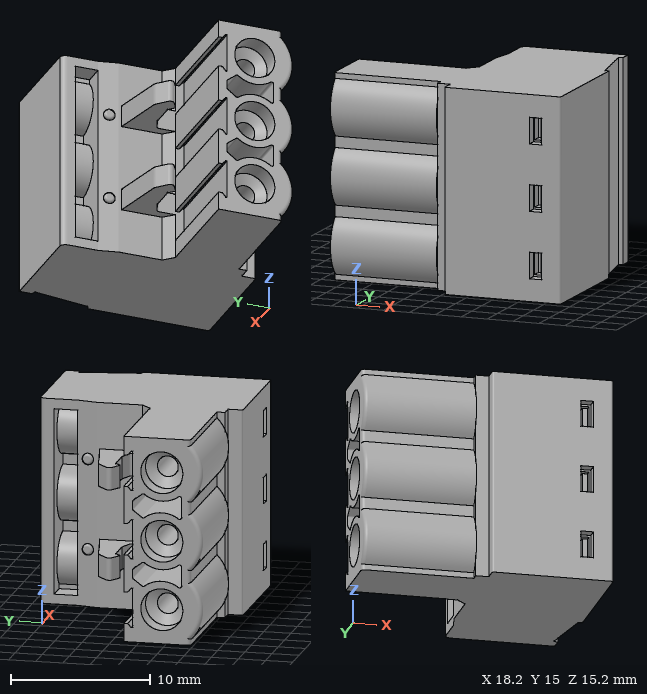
import cadquery as cq
import math


LENGTH = 18.2
DEPTH = 15.0
HEIGHT = 15.23
MID_HEIGHT = HEIGHT / 2
POLES = 3
POLE_PITCH = HEIGHT / POLES
CLAMP_PITCH = 4.95

HOUSING_X = 9.25
SCREW_FACE_X = 9.32
SLOPE_TOP_Y = 12.2
LATCH_WALL_X = 9.0
SLOPE_LOW_Y = 10.7
LATCH_TOP_Y = 10.5
BACK_ARC_START_Y = 14.52
BACK_ARC_RADIUS = 0.51
LOWER_EDGE_RADIUS = 0.16
WIRE_EDGE_RADIUS = 0.2
WIRE_SLOPE_LOW = (17.87, 9.54)
WIRE_SLOPE_HIGH = (17.16, 13.9)
WIRE_STEP_DROP = 0.13
BACK_LIP = (17.49, 14.0)

SHOULDER_X = 8.28
PLUG_TOP_Y = 6.62
PLUG_FLAT_Y = 1.7
NECK_Y = 1.1
LOBE_RADIUS = 3.0
NOSE_RADIUS = 0.31
CHAMBER_END_X = 7.28

BORE_Y = 3.82
BORE_RADIUS = 1.55
BORE_DEPTH = 1.5
PIN_HOLE_RADIUS = 0.76
CONE_DEPTH = 0.42

SHELL_RADIUS = 2.11
RECESS_LOW_Y = 2.37
RECESS_HIGH_Y = 5.97
RECESS_HIGH_HALF = 0.35
RECESS_SHOULDER_Y = 5.19
RECESS_FILLET = 0.15

GROOVE_FLOOR_Y = RECESS_HIGH_Y
GROOVE_NECK_Y = 6.33
GROOVE_UNDERCUT_Y = 6.08
GROOVE_NECK_HALF = 1.16
GROOVE_FLOOR_HALF = 1.45

LATCH_OFFSET = 3.35
LATCH_WIDTH = 1.65
LATCH_CREST = (4.86, 9.63)
LATCH_CREST_RADIUS = 0.55
LATCH_NOSE_HIGH = (3.95, 8.8)
LATCH_NOSE_LOW = (3.95, 8.5)
LATCH_NOSE_RADIUS = 0.27
LATCH_HOOK_TIP = (4.8, 8)
LATCH_HOOK_X = 5.26
LATCH_ARM_END_X = 7.23
LATCH_UNDERSIDE_Y = 8.45
LATCH_ROOT = (SHOULDER_X, 8.05)
LATCH_ROOT_RADIUS = 0.27
STUD_Y = 11.4
STUD_RADIUS = 0.42
STUD_END_X = 8.9
STUD_FILLET = 0.2

WINDOW_LOW_Y = SLOPE_TOP_Y
WINDOW_HIGH_Y = 13.95
WINDOW_HEIGHT = 13.75
WINDOW_LEDGE_X = 10.94
CAVITY_HEIGHT = 12.98
CAVITY_FLOOR_X = 12.12
SCREW_X = 12.3
SCREW_RADIUS = 2.07

SLOT_X = 16.25
SLOT_WIDTH = 0.93
SLOT_HEIGHT = 1.95
SLOT_DEPTH = 0.84
SLOT_LEDGE = 0.15
SLOT_NARROW_LEDGE = 0.07
SLOT_INNER_DEPTH = 1.27
SLOT_STEP_X = 16.2
SLOT_STEP_DEPTH = 1.64


def row(count, pitch):
    """Heights of evenly spaced features, centred on the part."""
    return [MID_HEIGHT + (i - (count - 1) / 2) * pitch for i in range(count)]


def box(x_range, y_range, height, z=MID_HEIGHT):
    """Box spanning two ranges and centred at a height."""
    size_x = x_range[1] - x_range[0]
    size_y = y_range[1] - y_range[0]
    corner = (x_range[0], y_range[0], z - height / 2)
    return cq.Workplane("XY").box(size_x, size_y, height, centered=False).translate(corner)


def along_x(x, z=0):
    """Sketch plane facing +X, whose axes are Y and Z."""
    return cq.Workplane("YZ", origin=(x, 0, z))


def round_upright_edge(solid, x, y, mid_z, radius):
    """Fillet the edge parallel to Z at the given place."""
    edge = cq.selectors.NearestToPointSelector((x, y, mid_z))
    return solid.edges("|Z").edges(edge).fillet(radius)


def shell_half(y):
    """Half height of the gap between two neighbouring bore shells."""
    return POLE_PITCH / 2 - math.sqrt(SHELL_RADIUS**2 - (y - BORE_Y) ** 2)


pole_heights = row(POLES, POLE_PITCH)
gap_heights = row(POLES - 1, POLE_PITCH)
clamp_heights = row(POLES, CLAMP_PITCH)
latch_heights = [MID_HEIGHT - LATCH_OFFSET, MID_HEIGHT + LATCH_OFFSET]


def make_housing():
    chamfer = LATCH_WALL_X - SHOULDER_X
    arc_rise = DEPTH - BACK_ARC_START_Y
    back_arc_end_x = SCREW_FACE_X + BACK_ARC_RADIUS - math.sqrt(BACK_ARC_RADIUS**2 - arc_rise**2)
    outline = [
        (SCREW_FACE_X, BACK_ARC_START_Y),
        (SCREW_FACE_X, SLOPE_TOP_Y),
        (LATCH_WALL_X, SLOPE_LOW_Y),
        (LATCH_WALL_X, PLUG_TOP_Y + chamfer),
        (SHOULDER_X, PLUG_TOP_Y),
        (SHOULDER_X, NECK_Y),
        (HOUSING_X, NECK_Y),
        (HOUSING_X, 0),
        (LENGTH, 0),
        (LENGTH, WIRE_SLOPE_LOW[1] - WIRE_STEP_DROP),
        WIRE_SLOPE_LOW,
        WIRE_SLOPE_HIGH,
        BACK_LIP,
        (BACK_LIP[0], DEPTH),
        (back_arc_end_x, DEPTH),
    ]
    housing = (
        cq.Workplane("XY")
        .polyline(outline)
        .radiusArc((SCREW_FACE_X, BACK_ARC_START_Y), -BACK_ARC_RADIUS)
        .close()
        .extrude(HEIGHT)
    )
    housing = round_upright_edge(housing, HOUSING_X, 0, MID_HEIGHT, LOWER_EDGE_RADIUS)
    return round_upright_edge(housing, LENGTH, 0, MID_HEIGHT, WIRE_EDGE_RADIUS)


def make_lobe(z):
    """Lower half of a round rod along a bore, with its nose rounded."""
    rod = along_x(0, z).center(BORE_Y, 0).circle(LOBE_RADIUS).extrude(SHOULDER_X)
    rod = rod.faces("<X").edges().fillet(NOSE_RADIUS)
    return rod.intersect(box((0, SHOULDER_X), (0, BORE_Y), POLE_PITCH, z))


def make_plug():
    plug = box((0, SHOULDER_X), (PLUG_FLAT_Y, PLUG_TOP_Y), HEIGHT)
    plug = plug.edges("<X and <Y").fillet(NOSE_RADIUS)
    for z in pole_heights:
        plug = plug.union(make_lobe(z))
    return plug


def make_bore(z):
    profile = [
        (0, 0),
        (0, BORE_RADIUS),
        (BORE_DEPTH, BORE_RADIUS),
        (BORE_DEPTH + CONE_DEPTH, PIN_HOLE_RADIUS),
        (CHAMBER_END_X, PIN_HOLE_RADIUS),
        (CHAMBER_END_X, 0),
    ]
    bore = cq.Workplane("XY").polyline(profile).close().revolve(360, (0, 0, 0), (1, 0, 0))
    return bore.translate((0, BORE_Y, z))


def make_recess(z):
    """Waisted recess between two bores, bounded by their shells."""
    waist = shell_half(BORE_Y)
    shoulder = shell_half(RECESS_SHOULDER_Y)
    low = shell_half(RECESS_LOW_Y)
    outline = (
        along_x(0, z)
        .moveTo(RECESS_HIGH_Y, -RECESS_HIGH_HALF)
        .lineTo(RECESS_HIGH_Y, RECESS_HIGH_HALF)
        .lineTo(RECESS_SHOULDER_Y, shoulder)
        .threePointArc((BORE_Y, waist), (RECESS_LOW_Y, low))
        .lineTo(RECESS_LOW_Y, -low)
        .threePointArc((BORE_Y, -waist), (RECESS_SHOULDER_Y, -shoulder))
        .close()
    )
    recess = outline.extrude(CHAMBER_END_X)
    corners = [
        (RECESS_HIGH_Y, RECESS_HIGH_HALF),
        (RECESS_HIGH_Y, -RECESS_HIGH_HALF),
        (RECESS_SHOULDER_Y, shoulder),
        (RECESS_SHOULDER_Y, -shoulder),
        (RECESS_LOW_Y, low),
        (RECESS_LOW_Y, -low),
    ]
    for y, offset in corners:
        edge = cq.selectors.NearestToPointSelector((CHAMBER_END_X / 2, y, z + offset))
        recess = recess.edges("|X").edges(edge).fillet(RECESS_FILLET)
    return recess


def make_groove(z):
    half_outline = [
        (PLUG_TOP_Y, GROOVE_NECK_HALF),
        (GROOVE_NECK_Y, GROOVE_NECK_HALF),
        (GROOVE_UNDERCUT_Y, GROOVE_FLOOR_HALF),
        (GROOVE_FLOOR_Y, GROOVE_FLOOR_HALF),
    ]
    mirrored = [(y, -half) for y, half in reversed(half_outline)]
    return along_x(0, z).polyline(half_outline + mirrored).close().extrude(SHOULDER_X)


def make_latch(z):
    outline = [
        (LATCH_WALL_X, LATCH_TOP_Y),
        LATCH_CREST,
        LATCH_NOSE_HIGH,
        LATCH_NOSE_LOW,
        LATCH_HOOK_TIP,
        (LATCH_HOOK_X, LATCH_UNDERSIDE_Y),
        (LATCH_ARM_END_X, LATCH_UNDERSIDE_Y),
        LATCH_ROOT,
        (SHOULDER_X, PLUG_TOP_Y),
        (HOUSING_X, PLUG_TOP_Y),
        (HOUSING_X, LATCH_TOP_Y),
    ]
    latch = cq.Workplane("XY").polyline(outline).close().extrude(LATCH_WIDTH)
    corners = [
        (LATCH_CREST, LATCH_CREST_RADIUS),
        (LATCH_NOSE_HIGH, LATCH_NOSE_RADIUS),
        (LATCH_NOSE_LOW, LATCH_NOSE_RADIUS),
        (LATCH_ROOT, LATCH_ROOT_RADIUS),
    ]
    for (x, y), radius in corners:
        latch = round_upright_edge(latch, x, y, LATCH_WIDTH / 2, radius)
    return latch.translate((0, 0, z - LATCH_WIDTH / 2))


def make_stud(z):
    stud = along_x(STUD_END_X, z).center(STUD_Y, 0).circle(STUD_RADIUS).extrude(HOUSING_X - STUD_END_X)
    return stud.faces("<X").edges().fillet(STUD_FILLET)


def make_screw_window():
    """Window opening into a cavity; the clamp screws stand in the cavity and stay solid."""
    y_range = (WINDOW_LOW_Y, WINDOW_HIGH_Y)
    window = box((LATCH_WALL_X, WINDOW_LEDGE_X), y_range, WINDOW_HEIGHT)
    window = window.union(box((LATCH_WALL_X, CAVITY_FLOOR_X), y_range, CAVITY_HEIGHT))
    for z in clamp_heights:
        screw = cq.Workplane("XZ", origin=(SCREW_X, 0, z)).circle(SCREW_RADIUS).extrude(-DEPTH)
        window = window.cut(screw)
    return window


def make_test_slot(z):
    x_range = (SLOT_X - SLOT_WIDTH / 2, SLOT_X + SLOT_WIDTH / 2)
    inner_height = SLOT_HEIGHT - 2 * SLOT_LEDGE
    inner_range = (x_range[0] + SLOT_NARROW_LEDGE, x_range[1] - SLOT_LEDGE)
    slot = box(x_range, (0, SLOT_DEPTH), SLOT_HEIGHT, z)
    slot = slot.union(box(inner_range, (0, SLOT_INNER_DEPTH), inner_height, z))
    return slot.union(box((inner_range[0], SLOT_STEP_X), (0, SLOT_STEP_DEPTH), inner_height, z))


result = make_housing().union(make_plug()).cut(make_screw_window())

for height in latch_heights:
    result = result.union(make_latch(height)).union(make_stud(height))

for height in pole_heights:
    result = result.cut(make_bore(height)).cut(make_groove(height))

for height in gap_heights:
    result = result.cut(make_recess(height))

for height in clamp_heights:
    result = result.cut(make_test_slot(height))